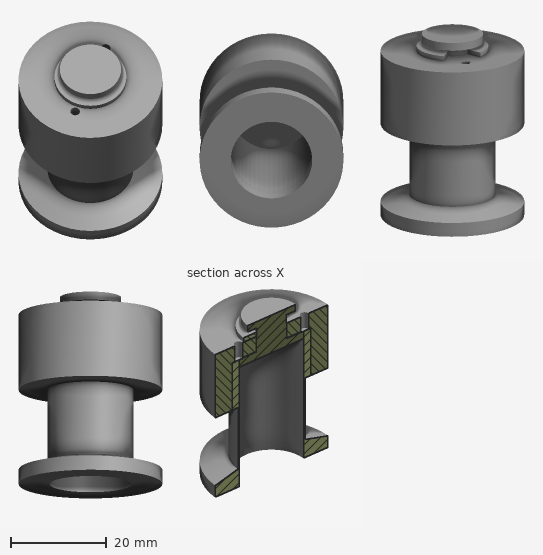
import cadquery as cq
import math

outer_diameter = 30.0
tube_diameter = 18.0
bore_diameter = 17.0
flange_thickness = 3.0
cone_angle = 15.0
plug_diameter = 20.95

cap_bottom = 20.0
cap_top = 36.0
cap_roof_thickness = 3.97
vent_diameter = 2.0
vent_offset = 8.77

stem_diameter = 8.0
head_diameter = 12.8
head_bottom = 38.0
stem_top = 39.7
foot_thickness = 2.0

ring_diameter = 15.0
ring_thickness = 1.07
ring_gap_half_angle = 32.3

outer_radius = outer_diameter / 2
tube_radius = tube_diameter / 2
bore_radius = bore_diameter / 2
plug_radius = plug_diameter / 2
cone_top = flange_thickness + (outer_radius - tube_radius) * math.tan(math.radians(cone_angle))
roof_bottom = cap_top - cap_roof_thickness


def cylinder(diameter, bottom, top):
    """Upright cylinder on the Z axis."""
    return cq.Workplane("XY").workplane(offset=bottom).circle(diameter / 2).extrude(top - bottom)


def make_flanged_tube():
    """Open tube with a conical-backed flange below and a plug above."""
    half_section = [
        (bore_radius, 0),
        (outer_radius, 0),
        (outer_radius, flange_thickness),
        (tube_radius, cone_top),
        (tube_radius, cap_bottom),
        (plug_radius, cap_bottom),
        (plug_radius, roof_bottom),
        (bore_radius, roof_bottom),
    ]
    return cq.Workplane("XZ").polyline(half_section).close().revolve(360, (0, 0, 0), (0, 1, 0))


def make_cap():
    """Cap with a socket for the tube, a stem hole and two vent holes."""
    cap = cylinder(outer_diameter, cap_bottom, cap_top)
    cap = cap.cut(cylinder(plug_diameter, cap_bottom, roof_bottom))
    cap = cap.cut(cylinder(stem_diameter, roof_bottom, cap_top))
    for side in (-1, 1):
        vent = cylinder(vent_diameter, roof_bottom, cap_top).translate((0, side * vent_offset, 0))
        cap = cap.cut(vent)
    return cap


def make_stem():
    """Round stem through the cap roof, with a wider head and a foot disc in the tube bore."""
    shaft = cylinder(stem_diameter, roof_bottom, head_bottom)
    head = cylinder(head_diameter, head_bottom, stem_top)
    foot = cylinder(bore_diameter, roof_bottom - foot_thickness, roof_bottom)
    return shaft.union(head).union(foot)


def make_retaining_ring():
    """C-shaped ring around the stem, open toward +Y."""
    ring_top = cap_top + ring_thickness
    ring = cylinder(ring_diameter, cap_top, ring_top)
    ring = ring.cut(cylinder(stem_diameter, cap_top, ring_top))
    gap_length = ring_diameter
    gap_half_width = gap_length * math.tan(math.radians(ring_gap_half_angle))
    gap = (
        cq.Workplane("XY")
        .workplane(offset=cap_top)
        .polyline([(0, 0), (gap_half_width, gap_length), (-gap_half_width, gap_length)])
        .close()
        .extrude(ring_thickness)
    )
    return ring.cut(gap)


flanged_tube = make_flanged_tube()
cap = make_cap()
stem = make_stem()
retaining_ring = make_retaining_ring()

result = cq.Compound.makeCompound([
    flanged_tube.val(),
    cap.val(),
    stem.val(),
    retaining_ring.val(),
])